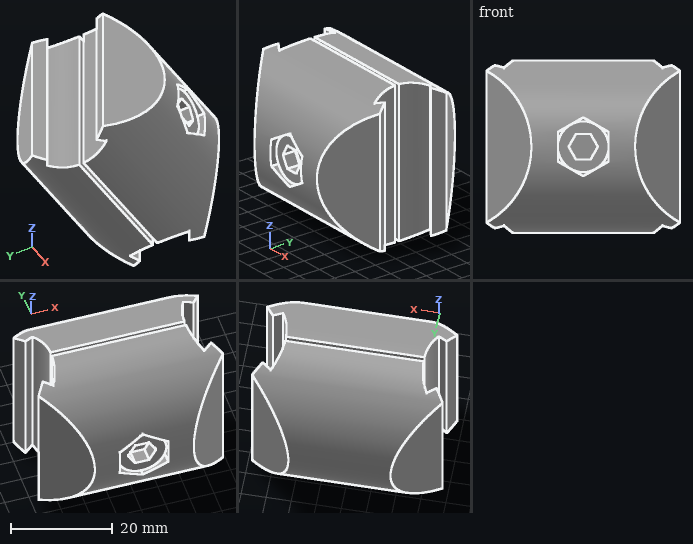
import cadquery as cq
import math

LENGTH = 38.05
RADIUS = 17.0
GAP = 1.0
BEVEL = 8.83

LIP_X = 17.35
LIP_Y = 5.65
LIP_ROOT_Y = 6.85
WAIST_X = 13.8
GRIP_RADIUS = 14.25

SHANK_DIAMETER = 6.0
HEAD_DIAMETER = 10.0
HEAD_HEIGHT = 6.0
HEAD_FACE_Y = -15.52
SHANK_LENGTH = 20.0
SOCKET_WIDTH = 5.0
SOCKET_DEPTH = 3.0

HALF_LENGTH = LENGTH / 2
HALF_GAP = GAP / 2
HEAD_SEAT_Y = HEAD_FACE_Y + HEAD_HEIGHT
SHANK_END_Y = HEAD_SEAT_Y + SHANK_LENGTH
POCKET_WIDTH = HEAD_DIAMETER
POCKET_TURN = 30


def grip_x(y):
    """Half-width of the concave grip arc at distance y from the split plane."""
    return WAIST_X + GRIP_RADIUS - math.sqrt(GRIP_RADIUS**2 - y**2)


def section_at(y):
    """XZ workplane at the given Y, extruding toward +Y."""
    return cq.Workplane(cq.Plane(origin=(0, y, 0), xDir=(1, 0, 0), normal=(0, 1, 0)))


def cylinder(diameter, y_start, y_end):
    """Cylinder on the Y axis between two Y positions."""
    return section_at(y_start).circle(diameter / 2).extrude(y_end - y_start)


def hexagon(width, y_start, y_end, turn=0):
    """Hexagonal prism on the Y axis, with corners on X when turn is zero."""
    prism = section_at(y_start).polygon(6, width / math.cos(math.pi / 6)).extrude(y_end - y_start)
    return prism.rotate((0, 0, 0), (0, 1, 0), turn)


def clamp_blank():
    """Plain clamp half on the +Y side of the split plane."""
    mid_y = (HALF_GAP + LIP_ROOT_Y) / 2
    waist_edge = grip_x(HALF_GAP)
    lip_root_x = grip_x(LIP_ROOT_Y)
    grip_mid = grip_x(mid_y)
    profile = (
        cq.Workplane("XY", origin=(0, 0, -RADIUS))
        .moveTo(-waist_edge, HALF_GAP)
        .lineTo(waist_edge, HALF_GAP)
        .threePointArc((grip_mid, mid_y), (lip_root_x, LIP_ROOT_Y))
        .lineTo(LIP_X, LIP_Y)
        .lineTo(HALF_LENGTH, RADIUS - BEVEL)
        .lineTo(HALF_LENGTH - BEVEL, RADIUS)
        .lineTo(-HALF_LENGTH + BEVEL, RADIUS)
        .lineTo(-HALF_LENGTH, RADIUS - BEVEL)
        .lineTo(-LIP_X, LIP_Y)
        .lineTo(-lip_root_x, LIP_ROOT_Y)
        .threePointArc((-grip_mid, mid_y), (-waist_edge, HALF_GAP))
        .close()
        .extrude(2 * RADIUS)
    )
    barrel = cq.Workplane("YZ", origin=(-HALF_LENGTH, 0, 0)).circle(RADIUS).extrude(LENGTH)
    return profile.intersect(barrel)


def front_clamp():
    """Clamp half with the hexagonal head pocket and a shank hole."""
    pocket = hexagon(POCKET_WIDTH, -RADIUS, HEAD_SEAT_Y, turn=POCKET_TURN)
    shank_hole = cylinder(SHANK_DIAMETER, HEAD_SEAT_Y, 0)
    return clamp_blank().mirror("XZ").cut(pocket).cut(shank_hole)


def rear_clamp():
    """Clamp half with a blind hole for the end of the shank."""
    return clamp_blank().cut(cylinder(SHANK_DIAMETER, 0, SHANK_END_Y))


def socket_screw():
    """Screw with a round head and a hexagonal drive socket."""
    head = cylinder(HEAD_DIAMETER, HEAD_FACE_Y, HEAD_SEAT_Y)
    shank = cylinder(SHANK_DIAMETER, HEAD_SEAT_Y, SHANK_END_Y)
    socket = hexagon(SOCKET_WIDTH, HEAD_FACE_Y, HEAD_FACE_Y + SOCKET_DEPTH)
    return head.union(shank).cut(socket)


front_half = front_clamp()
rear_half = rear_clamp()
screw = socket_screw()

result = cq.Compound.makeCompound([front_half.solids().val(), rear_half.solids().val(), screw.solids().val()])